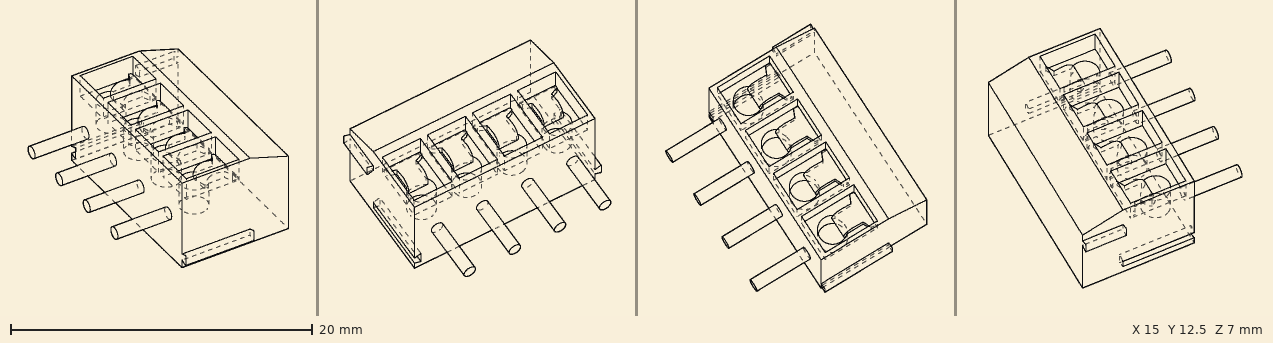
import cadquery as cq
import math


pole_count = 4
pitch = 3.5
body_length = pole_count * pitch
front_zone = 5.3
slope_run = 3.0
body_depth = front_zone + slope_run
body_height = 7.0
slope_drop = 1.0

pin_diameter = 0.9
pin_length = 4.2
pin_height = 3.4

cell_width = 2.95
cell_front = 0.5
cell_back = 4.6
cell_depth = 1.7
cell_floor = body_height - cell_depth
wire_hole_diameter = 2.0
wire_hole_y = 2.0
wire_hole_depth = 2.0
wire_hole_bottom = cell_floor - wire_hole_depth

tongue_width = 1.5
head_width = 2.7
head_front = 4.2
neck_back = 3.93
crest_y = 4.28
crest_rise = 0.45
bend_y = 3.29
curl_front = 2.4
tongue_angle = math.radians(9.5)

joint_depth = 0.5
rib_root = 0.5
rib_tip = 0.88
rib_round = 0.07
groove_mouth = 0.57
groove_floor = 0.93
upper_joint_z = 5.1
lower_joint_z = 0.88

half_length = body_length / 2


def make_housing():
    outline = [
        (0, 0),
        (body_depth, 0),
        (body_depth, body_height - slope_drop),
        (front_zone, body_height),
        (0, body_height),
    ]
    return cq.Workplane("YZ").polyline(outline).close().extrude(half_length, both=True)


def dovetail(root_x, direction, center_z, root_height, tip_height, y_start, y_end):
    """Dovetail bar along Y, widening from root_x toward the given X direction."""
    tip_x = root_x + direction * joint_depth
    outline = [
        (root_x, center_z - root_height / 2),
        (tip_x, center_z - tip_height / 2),
        (tip_x, center_z + tip_height / 2),
        (root_x, center_z + root_height / 2),
    ]
    bar = cq.Workplane("XZ").polyline(outline).close().extrude(y_start - y_end)
    return bar.translate((0, y_start, 0))


def joint_rib(direction, center_z, y_start, y_end):
    bar = dovetail(direction * half_length, direction, center_z, rib_root, rib_tip, y_start, y_end)
    tip_face = ">X" if direction > 0 else "<X"
    return bar.faces(tip_face).edges("|Y").fillet(rib_round)


def make_cell(x):
    """Wire cell with the round wire hole in its floor."""
    cell_length = cell_back - cell_front
    pocket = cq.Workplane("XY").box(cell_width, cell_length, cell_depth, centered=(True, False, False))
    pocket = pocket.translate((x, cell_front, cell_floor))
    hole = cq.Workplane("XY").circle(wire_hole_diameter / 2).extrude(wire_hole_depth)
    return pocket.union(hole.translate((x, wire_hole_y, wire_hole_bottom)))


def make_contact(x):
    """Tongue rising from the back of the cell and curling down into the wire hole."""
    sine = math.sin(tongue_angle)
    cosine = math.cos(tongue_angle)
    crest_z = cell_floor + crest_rise
    bend_z = crest_z + (crest_y - bend_y) * math.tan(tongue_angle)

    curl_radius = (bend_y - curl_front) / (1 + sine)
    curl_y = bend_y - curl_radius * sine
    curl_z = bend_z - curl_radius * cosine
    curl_bottom = curl_z - curl_radius

    roll_radius = (cell_back - crest_y) / (1 - sine)
    roll_y = crest_y - roll_radius * sine
    roll_z = crest_z - roll_radius * cosine
    roll_middle = (math.pi / 2 + tongue_angle) / 2
    roll_mid_point = (
        roll_y + roll_radius * math.sin(roll_middle),
        roll_z + roll_radius * math.cos(roll_middle),
    )

    side = (
        cq.Workplane("YZ")
        .moveTo(curl_y, curl_bottom)
        .threePointArc((curl_front, curl_z), (bend_y, bend_z))
        .lineTo(crest_y, crest_z)
        .threePointArc(roll_mid_point, (cell_back, roll_z))
        .lineTo(cell_back, curl_bottom)
        .close()
        .extrude(head_width / 2, both=True)
    )
    half_neck = tongue_width / 2
    half_head = head_width / 2
    plan_outline = [
        (-half_neck, curl_front),
        (half_neck, curl_front),
        (half_neck, neck_back),
        (half_head, head_front),
        (half_head, cell_back),
        (-half_head, cell_back),
        (-half_head, head_front),
        (-half_neck, neck_back),
    ]
    plan = cq.Workplane("XY").polyline(plan_outline).close().extrude(body_height)
    return side.intersect(plan).translate((x, 0, 0))


def make_pin(x):
    return cq.Workplane("XZ").center(x, pin_height).circle(pin_diameter / 2).extrude(pin_length)


body = make_housing()
body = body.cut(
    dovetail(-half_length, 1, lower_joint_z, groove_mouth, groove_floor, 0, front_zone)
)
body = body.union(joint_rib(-1, upper_joint_z, front_zone, body_depth))
body = body.union(joint_rib(1, lower_joint_z, 0, front_zone))

for pole in range(pole_count):
    pole_x = (pole - (pole_count - 1) / 2) * pitch
    body = body.cut(make_cell(pole_x))
    body = body.union(make_contact(pole_x))
    body = body.union(make_pin(pole_x))

result = body